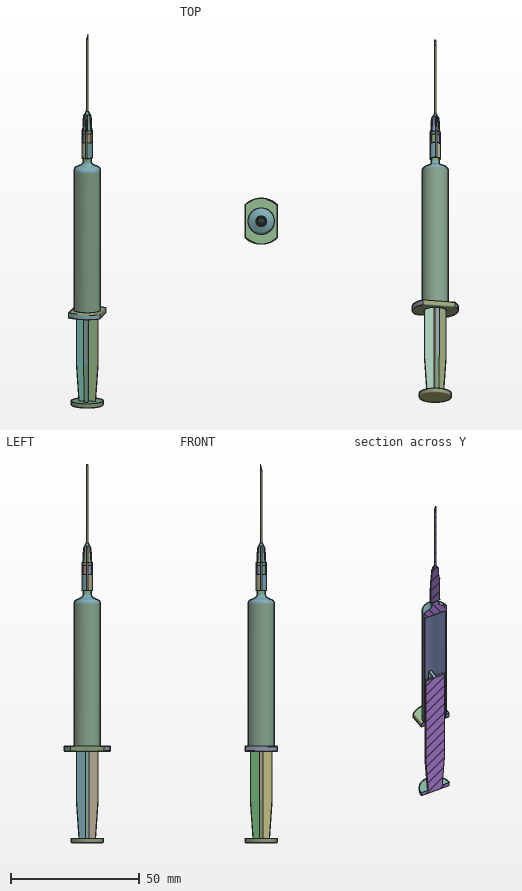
import cadquery as cq
import math

total_height = 147.5

disc_diameter = 12.5
disc_thickness = 1.8
disc_edge_radius = 0.5
rod_half_width = 4.3
rod_foot_half_width = 3.2
rod_taper_top = 16.8
rod_top = 59.0
rib_thickness = 1.3
rib_edge_radius = 0.22

flange_bottom = 35.7
flange_thickness = 2.0
flange_length = 18.0
flange_width = disc_diameter
flange_edge_radius = 0.3
barrel_radius = 5.2
bore_radius = 4.5
bore_top = 91.5
shoulder_bottom = 93.3
shoulder_top = 97.1
nozzle_radius = 1.6

hub_bottom = 98.4
hub_sleeve_top = 104.6
hub_sleeve_radius = 2.0
hub_collar_bottom = 108.2
hub_collar_top = 109.3
hub_collar_radius = 1.8
hub_waist_radius = 1.6
hub_cone_base_radius = 1.5
hub_cone_top = 115.7
hub_cone_top_radius = 1.0
hub_tip = 117.0
fin_thickness = 0.6
fin_count = 4
lower_fin_radius = 2.0
upper_fin_base_radius = 1.8
upper_fin_top_radius = 1.5
upper_fin_shoulder = 115.1

needle_radius = 0.37
bevel_height = 2.7


def make_rod_rib():
    """One flat rib across the full rod, tapering towards the thumb disc."""
    rib = (
        cq.Workplane("XZ")
        .moveTo(-rod_foot_half_width, disc_thickness)
        .lineTo(rod_foot_half_width, disc_thickness)
        .lineTo(rod_half_width, rod_taper_top)
        .lineTo(rod_half_width, rod_top)
        .lineTo(-rod_half_width, rod_top)
        .lineTo(-rod_half_width, rod_taper_top)
        .close()
        .extrude(rib_thickness / 2, both=True)
    )
    return rib.edges("(not |X) and (not |Y)").fillet(rib_edge_radius)


def make_plunger():
    """Round thumb disc carrying a rod of two crossed ribs."""
    disc = cq.Workplane("XY").circle(disc_diameter / 2).extrude(disc_thickness)
    disc = disc.faces("<Z").edges().fillet(disc_edge_radius)
    rib = make_rod_rib()
    crossing_rib = rib.rotate((0, 0, 0), (0, 0, 1), 90)
    return disc.union(rib).union(crossing_rib)


def make_flange():
    """Round plate cut by two flats, with rounded edges."""
    half_length = flange_length / 2
    half_width = flange_width / 2
    flat_half_length = math.sqrt(half_length**2 - half_width**2)
    return (
        cq.Workplane("XY", origin=(0, 0, flange_bottom))
        .moveTo(half_width, -flat_half_length)
        .lineTo(half_width, flat_half_length)
        .threePointArc((0, half_length), (-half_width, flat_half_length))
        .lineTo(-half_width, -flat_half_length)
        .threePointArc((0, -half_length), (half_width, -flat_half_length))
        .close()
        .extrude(flange_thickness)
        .edges("not |Z")
        .fillet(flange_edge_radius)
    )


def make_barrel():
    """Flanged tube with an S-curved shoulder, a short nozzle and a bore open at the bottom."""
    tube = (
        cq.Workplane("XZ")
        .moveTo(0, flange_bottom)
        .lineTo(barrel_radius, flange_bottom)
        .lineTo(barrel_radius, shoulder_bottom)
        .spline([(nozzle_radius, shoulder_top)], tangents=[(0, 1), (0, 1)], includeCurrent=True)
        .lineTo(nozzle_radius, hub_bottom)
        .lineTo(0, hub_bottom)
        .close()
        .revolve()
    )
    bore = (
        cq.Workplane("XY", origin=(0, 0, flange_bottom))
        .circle(bore_radius)
        .extrude(bore_top - flange_bottom)
    )
    return make_flange().union(tube).cut(bore)


def make_hub_core():
    """Turned core: sleeve, waist, collar, cone and pointed tip."""
    return (
        cq.Workplane("XZ")
        .moveTo(0, hub_bottom)
        .lineTo(hub_sleeve_radius, hub_bottom)
        .lineTo(hub_sleeve_radius, hub_sleeve_top)
        .lineTo(hub_waist_radius, hub_sleeve_top)
        .lineTo(hub_waist_radius, hub_collar_bottom)
        .lineTo(hub_collar_radius, hub_collar_bottom)
        .lineTo(hub_collar_radius, hub_collar_top)
        .lineTo(hub_cone_base_radius, hub_collar_top)
        .lineTo(hub_cone_top_radius, hub_cone_top)
        .lineTo(needle_radius, hub_tip)
        .lineTo(0, hub_tip)
        .close()
        .revolve()
    )


def make_hub_fin():
    """One thin radial fin on the +X side of the hub."""
    return (
        cq.Workplane("XZ")
        .moveTo(0, hub_bottom)
        .lineTo(lower_fin_radius, hub_bottom)
        .lineTo(lower_fin_radius, hub_collar_top)
        .lineTo(upper_fin_base_radius, hub_collar_top)
        .lineTo(upper_fin_top_radius, upper_fin_shoulder)
        .lineTo(hub_cone_top_radius, hub_cone_top)
        .lineTo(0, hub_cone_top)
        .close()
        .extrude(fin_thickness / 2, both=True)
    )


def make_hub():
    """Hub core with evenly spaced fins."""
    hub = make_hub_core()
    for i in range(fin_count):
        hub = hub.union(make_hub_fin().rotate((0, 0, 0), (0, 0, 1), i * 360 / fin_count))
    return hub


def make_needle():
    """Thin shaft with a slanted point that is highest on the -X side."""
    round_stock = cq.Workplane("XY").circle(needle_radius).extrude(total_height)
    return (
        cq.Workplane("XZ")
        .moveTo(-needle_radius, hub_tip)
        .lineTo(needle_radius, hub_tip)
        .lineTo(needle_radius, total_height - bevel_height)
        .lineTo(-needle_radius, total_height)
        .close()
        .extrude(needle_radius, both=True)
        .intersect(round_stock)
    )


plunger = make_plunger()
barrel = make_barrel()
hub = make_hub()
needle = make_needle()

result = cq.Compound.makeCompound([plunger.val(), barrel.val(), hub.val(), needle.val()])